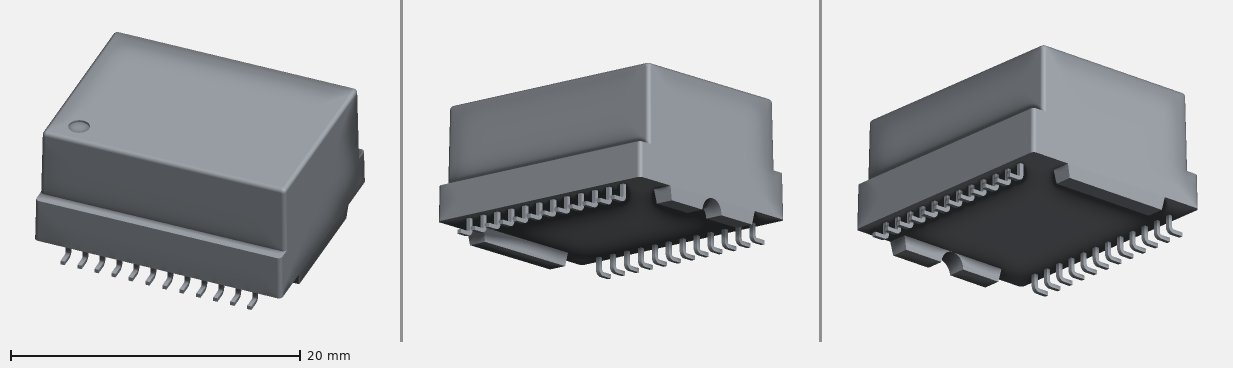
import cadquery as cq
import math

length = 18.5
base_width = 15.35
upper_width = 13.56
underside_z = 1.3
top_z = 9.77
front_ledge_z = 4.65
back_ledge_z = 3.87
draft_angle = 1.0
edge_radius = 0.3

dimple_diameter = 1.5
dimple_depth = 0.15
dimple_x = -6.97
dimple_y = -5.0

foot_bottom_z = 0.3
foot_length = 1.5
foot_width = 8.95
foot_inset_x = 0.065
foot_inset_y = 0.22
foot_height = underside_z - foot_bottom_z
notch_radius = foot_height

pins_per_row = 12
pin_row_span = 13.97
pin_pitch = pin_row_span / (pins_per_row - 1)
pin_width = 0.31
pin_thickness = 0.3
pin_tip_y = 7.97
pin_leg_outer_y = 7.03
bend_inner_radius = 0.15
bend_outer_radius = bend_inner_radius + pin_thickness


def drafted_block(width, height):
    """Block on the underside plane with leaning walls and rounded upright corners."""
    outline = cq.Workplane("XY", origin=(0, 0, underside_z)).rect(length, width)
    block = outline.extrude(height, taper=draft_angle)
    upright_edges = block.edges("not(#Z)")
    return upright_edges.fillet(edge_radius)


def make_housing():
    """Wide base with ledges of two heights, carrying the narrower upper part."""
    base = drafted_block(base_width, front_ledge_z - underside_z)
    back_step = (
        cq.Workplane("XY", origin=(0, 0, back_ledge_z))
        .box(length, base_width, front_ledge_z - back_ledge_z, centered=(True, False, False))
    )
    upper = drafted_block(upper_width, top_z - underside_z)
    upper = upper.faces(">Z").edges().fillet(edge_radius)
    return base.cut(back_step).union(upper)


def make_dimple():
    """Shallow round recess cutter for the top face."""
    plane = cq.Workplane("XY", origin=(dimple_x, dimple_y, top_z))
    return plane.circle(dimple_diameter / 2).extrude(-dimple_depth)


def make_foot(side):
    """Foot that narrows downward; side is -1 for the -X end and +1 for the +X end."""
    return (
        cq.Workplane("XY", origin=(side * (length - foot_length) / 2, 0, underside_z))
        .rect(foot_length, foot_width)
        .workplane(offset=-foot_height)
        .rect(foot_length - 2 * foot_inset_x, foot_width - 2 * foot_inset_y)
        .loft(ruled=True)
    )


def make_notch():
    """Round cutter that runs along X, open downward, through the -X foot only."""
    plane = cq.Workplane("YZ", origin=(-length / 2, 0, foot_bottom_z))
    return plane.circle(notch_radius).extrude(foot_length)


def make_pin(x):
    """Pin of the +Y row: a leg down from the underside, a bend, and a foot outward."""
    leg_inner_y = pin_leg_outer_y - pin_thickness
    bend_y = pin_leg_outer_y + bend_inner_radius
    bend_z = bend_outer_radius
    diagonal = math.sqrt(0.5)
    return (
        cq.Workplane("YZ", origin=(x, 0, 0))
        .moveTo(leg_inner_y, underside_z)
        .lineTo(leg_inner_y, bend_z)
        .threePointArc(
            (bend_y - bend_outer_radius * diagonal, bend_z - bend_outer_radius * diagonal),
            (bend_y, 0),
        )
        .lineTo(pin_tip_y, 0)
        .lineTo(pin_tip_y, pin_thickness)
        .lineTo(bend_y, pin_thickness)
        .threePointArc(
            (bend_y - bend_inner_radius * diagonal, bend_z - bend_inner_radius * diagonal),
            (pin_leg_outer_y, bend_z),
        )
        .lineTo(pin_leg_outer_y, underside_z)
        .close()
        .extrude(pin_width / 2, both=True)
    )


notched_foot = make_foot(-1).cut(make_notch())
plain_foot = make_foot(1)
result = make_housing().cut(make_dimple()).union(notched_foot).union(plain_foot)

for index in range(pins_per_row):
    pin_x = -pin_row_span / 2 + index * pin_pitch
    back_pin = make_pin(pin_x)
    result = result.union(back_pin).union(back_pin.mirror("XZ"))